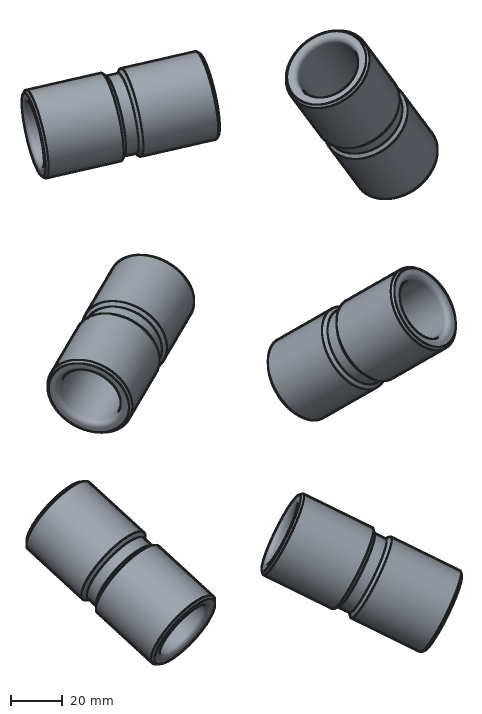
import cadquery as cq

length = 70.0
outer_radius = 17.5
bore_radius = 12.45
end_chamfer = 1.0
mouth_radius = 2.0

groove_depth = 1.55
groove_floor_width = 5.05
groove_wall_width = 1.5
groove_mouth_width = groove_floor_width + 2 * groove_wall_width


def make_sleeve():
    """Plain tube with chamfered outer edges and rounded bore mouths."""
    body = cq.Workplane("XZ").circle(outer_radius).extrude(length / 2, both=True)
    body = body.faces("<Y or >Y").edges().chamfer(end_chamfer)
    bore = cq.Workplane("XZ").circle(bore_radius).extrude(length / 2, both=True)
    tube = body.cut(bore)
    bore_edges = tube.edges(cq.selectors.RadiusNthSelector(0))
    return bore_edges.fillet(mouth_radius)


def make_groove():
    """Ring with a trapezoid section, revolved about the Y axis."""
    floor_radius = outer_radius - groove_depth
    section = cq.Workplane("XY").polyline([
        (floor_radius, -groove_floor_width / 2),
        (outer_radius, -groove_mouth_width / 2),
        (outer_radius, groove_mouth_width / 2),
        (floor_radius, groove_floor_width / 2),
    ]).close()
    return section.revolve(360, (0, 0, 0), (0, 1, 0))


result = make_sleeve().cut(make_groove())